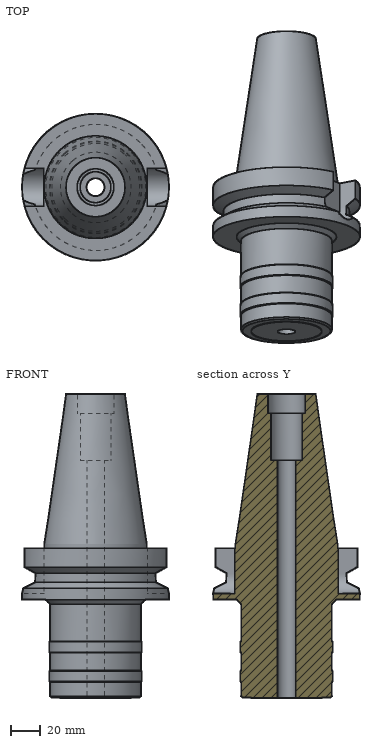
import cadquery as cq
import math


gauge_radius = 69.85 / 2
taper_length = 101.8
taper_ratio = 7 / 24
taper_tip_radius = gauge_radius - taper_length * taper_ratio / 2

flange_radius = 50.0
flange_top = -3.0
flange_bottom = -38.0
groove_root_radius = 42.9
groove_root_width = 6.2
groove_center = -23.1
groove_flank_angle = 30.0
groove_flank_height = (flange_radius - groove_root_radius) * math.tan(math.radians(groove_flank_angle))
groove_root_top = groove_center + groove_root_width / 2
groove_root_bottom = groove_center - groove_root_width / 2

nose_radius = 31.0
nose_end = -105.0
nose_end_chamfer = 1.1
end_pad_radius = 24.0
end_pad_height = 0.4
nose_face = nose_end + end_pad_height
nose_collar = 3.0

ring_height = 0.5
ring_width = 8.0
ring_tops = (-66.1, -86.1)

slot_width = 25.7
slot_floor_distance = 35.3
slot_bottom = -33.7
slot_end_radius = slot_width / 2

counterbore_radius = 12.5
counterbore_depth = 13.0
thread_bore_radius = 10.5
thread_bore_depth = 45.0
coolant_hole_radius = 6.0


def revolve_section(section):
    """Full turn about Z of a closed outline given as (radius, height) points."""
    return cq.Workplane("YZ").polyline(section).close().revolve(360, (0, 0, 0), (0, 1, 0))


def make_body():
    """Taper, flange and nose as one revolved half section."""
    section = [
        (0, taper_length),
        (taper_tip_radius, taper_length),
        (gauge_radius, 0),
        (gauge_radius, flange_top),
        (flange_radius, flange_top),
        (flange_radius, groove_root_top + groove_flank_height),
        (groove_root_radius, groove_root_top),
        (groove_root_radius, groove_root_bottom),
        (flange_radius, groove_root_bottom - groove_flank_height),
        (flange_radius, flange_bottom),
        (nose_radius + nose_collar, flange_bottom),
        (nose_radius, flange_bottom - nose_collar),
        (nose_radius, nose_face + nose_end_chamfer),
        (nose_radius - nose_end_chamfer, nose_face),
        (end_pad_radius, nose_face),
        (end_pad_radius, nose_end),
        (0, nose_end),
    ]
    return revolve_section(section)


def make_ring(top):
    """Raised band with 45-degree edges, running down to the axis so it fuses with the nose."""
    bottom = top - ring_width
    section = [
        (0, top),
        (nose_radius, top),
        (nose_radius + ring_height, top - ring_height),
        (nose_radius + ring_height, bottom + ring_height),
        (nose_radius, bottom),
        (0, bottom),
    ]
    return revolve_section(section)


def make_drive_slot(side):
    """Round-ended slot cutter, open at the flange top and rim; side is +1 or -1 along X."""
    arc_center = slot_bottom + slot_end_radius
    return (
        cq.Workplane("YZ", origin=(side * slot_floor_distance, 0, 0))
        .moveTo(-slot_end_radius, flange_top)
        .lineTo(-slot_end_radius, arc_center)
        .threePointArc((0, slot_bottom), (slot_end_radius, arc_center))
        .lineTo(slot_end_radius, flange_top)
        .close()
        .extrude(side * flange_radius)
    )


def make_bore():
    """Counterbore, thread bore and coolant hole, entering from the taper tip."""
    mouth = cq.Workplane("XY", origin=(0, 0, taper_length))
    counterbore = mouth.circle(counterbore_radius).extrude(-counterbore_depth)
    thread_bore = mouth.circle(thread_bore_radius).extrude(-thread_bore_depth)
    coolant_hole = mouth.circle(coolant_hole_radius).extrude(nose_end - taper_length)
    return counterbore.union(thread_bore).union(coolant_hole)


result = make_body()
for ring_top in ring_tops:
    result = result.union(make_ring(ring_top))
for slot_side in (1, -1):
    result = result.cut(make_drive_slot(slot_side))
result = result.cut(make_bore())